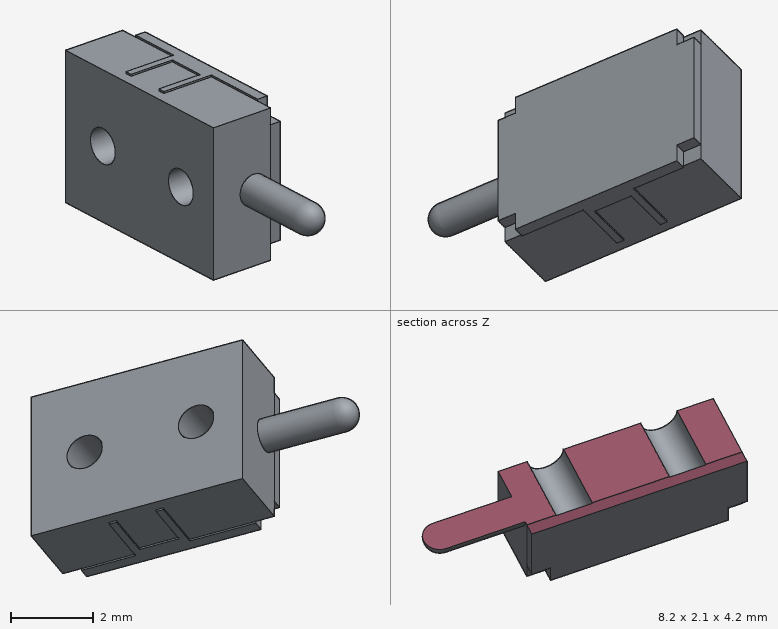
import cadquery as cq

total_length = 8.2
total_depth = 2.1
housing_length = 5.7
housing_height = 4.1
cover_thickness = 0.3
housing_depth = total_depth - cover_thickness

plunger_diameter = 0.85
plunger_radius = plunger_diameter / 2
plunger_y = 1.26

hole_diameter = 0.95
hole_positions_x = (1.44, 4.445)

cover_height = 4.2
clip_thickness = (cover_height - housing_height) / 2
corner_notch = 0.5
clip_left = 1.96
clip_width = 1.46
clip_front_y = 0.3
prong_width = 0.2
clip_bridge_width = 0.2


def corner_box(length, depth, height, x, y, z):
    """Box with its lowest corner at (x, y, z)."""
    return cq.Workplane("XY").box(length, depth, height, centered=False).translate((x, y, z))


def make_plunger():
    """Cylinder along X, starting on the housing face and ending in a hemisphere."""
    shoulder_x = total_length - plunger_radius
    axis_start = (housing_length, plunger_y, 0)
    shaft = (
        cq.Workplane("YZ", origin=axis_start)
        .circle(plunger_radius)
        .extrude(shoulder_x - housing_length)
    )
    nose = (
        cq.Workplane("XY", origin=(shoulder_x, plunger_y, 0))
        .moveTo(0, plunger_radius)
        .radiusArc((plunger_radius, 0), plunger_radius)
        .lineTo(0, 0)
        .close()
        .revolve(360, (0, 0, 0), (1, 0, 0))
    )
    return shaft.union(nose, clean=False)


def make_housing():
    """Block with two mounting holes and the plunger."""
    block = corner_box(housing_length, housing_depth, housing_height, 0, 0, -housing_height / 2)
    holes = (
        cq.Workplane("XZ")
        .pushPoints([(x, 0) for x in hole_positions_x])
        .circle(hole_diameter / 2)
        .extrude(-housing_depth)
    )
    return block.cut(holes).union(make_plunger(), clean=False)


def make_clip(bottom_z):
    """Two prongs joined by a bridge at the cover, lying on the housing."""
    clip_depth = total_depth - clip_front_y
    gap_width = clip_width - 2 * prong_width
    gap_depth = clip_depth - cover_thickness - clip_bridge_width
    clip = corner_box(clip_width, clip_depth, clip_thickness, clip_left, clip_front_y, bottom_z)
    gap = corner_box(
        gap_width, gap_depth, clip_thickness, clip_left + prong_width, clip_front_y, bottom_z
    )
    return clip.cut(gap)


def make_cover():
    """Back plate with notched corners and one clip at the top and bottom."""
    wing_height = cover_height - 2 * corner_notch
    centre_length = housing_length - 2 * corner_notch
    wings = corner_box(
        housing_length, cover_thickness, wing_height, 0, housing_depth, -wing_height / 2
    )
    centre = corner_box(
        centre_length, cover_thickness, cover_height, corner_notch, housing_depth, -cover_height / 2
    )
    cover = wings.union(centre)
    for clip_bottom_z in (housing_height / 2, -cover_height / 2):
        cover = cover.union(make_clip(clip_bottom_z))
    return cover


housing = make_housing()
cover = make_cover()
result = cq.Compound.makeCompound([housing.solids().val(), cover.solids().val()])